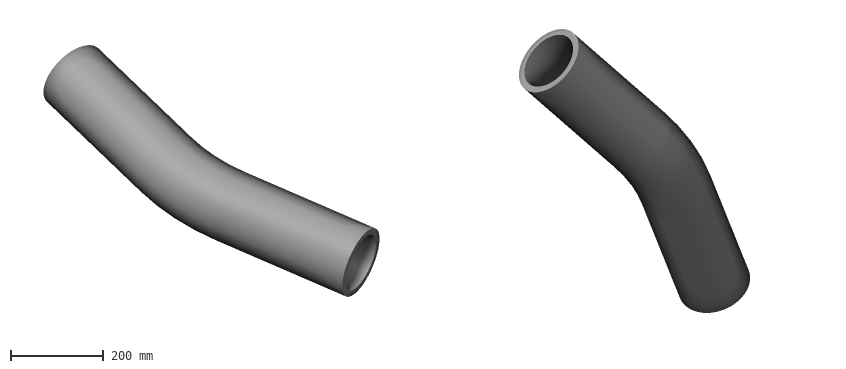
import cadquery as cq
import math

outer_diameter = 160.0
bore_diameter = 130.8
bend_angle = 22.0
bend_radius = 3 * outer_diameter
end_to_corner = 420.0

angle = math.radians(bend_angle)
leg_length = end_to_corner - bend_radius * math.tan(angle / 2)


def bend_point(swept_angle):
    """Point on the axis after the given part of the bend, in radians."""
    return (
        leg_length + bend_radius * math.sin(swept_angle),
        bend_radius * (1 - math.cos(swept_angle)),
    )


def pipe_axis():
    """Straight leg along +X, bend towards +Y, then a second leg of equal length."""
    bend_end = bend_point(angle)
    far_end = (
        bend_end[0] + leg_length * math.cos(angle),
        bend_end[1] + leg_length * math.sin(angle),
    )
    return (
        cq.Workplane("XY")
        .lineTo(leg_length, 0)
        .threePointArc(bend_point(angle / 2), bend_end)
        .lineTo(*far_end)
    )


def pipe():
    """Ring section at the near end, swept along the axis."""
    section = cq.Workplane("YZ").circle(outer_diameter / 2).circle(bore_diameter / 2)
    return section.sweep(pipe_axis())


result = pipe()